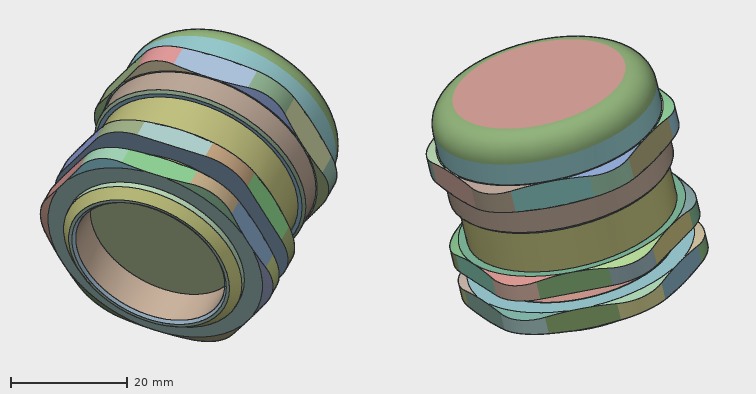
import cadquery as cq
import math


total_length = 40.56
locknut_start = 2.75
locknut_thickness = 4.0
thread_end = 8.48
ring_centre = 9.7
body_hex_start = 10.0
body_hex_thickness = 4.0
cap_start = 22.1
cap_hex_start = 27.06
cap_hex_thickness = 5.0

thread_diameter = 33.25
thread_root_diameter = 30.0
thread_chamfer = (thread_diameter - thread_root_diameter) / 2

ring_diameter = 33.1
ring_section_radius = 1.2
body_diameter = 37.0
cap_diameter = 39.5
cap_chamfer = 0.5
cap_dome_radius = 4.5

bore_diameter = 27.8
bore_depth = 7.0
bore_chamfer = 0.5

across_flats = 40.0
nut_corner_radius = 9.0
cap_corner_radius = 8.0
shallow_chamfer_angle = 20.0
steep_chamfer_angle = 30.0


def revolve_about_y(profile):
    """Revolve a half profile, drawn as (radius, y), about the Y axis."""
    return profile.close().revolve(360, (0, 0, 0), (0, 1, 0))


def turned_body():
    """The round sections, from the threaded end to the domed cap."""
    thread_radius = thread_diameter / 2
    root_radius = thread_root_diameter / 2
    body_radius = body_diameter / 2
    cap_radius = cap_diameter / 2

    ring_axis_radius = ring_diameter / 2 - ring_section_radius
    ring_start = ring_centre - math.sqrt(ring_section_radius**2 - (root_radius - ring_axis_radius) ** 2)
    ring_end_radius = ring_axis_radius + math.sqrt(
        ring_section_radius**2 - (body_hex_start - ring_centre) ** 2
    )
    ring_mid_offset = ring_section_radius * math.sqrt(0.5)

    dome_start = total_length - cap_dome_radius
    dome_flat_radius = cap_radius - cap_dome_radius
    dome_mid_offset = cap_dome_radius * math.sqrt(0.5)

    profile = (
        cq.Workplane("XY")
        .lineTo(root_radius, 0)
        .lineTo(thread_radius, thread_chamfer)
        .lineTo(thread_radius, thread_end - thread_chamfer)
        .lineTo(root_radius, thread_end)
        .lineTo(root_radius, ring_start)
        .threePointArc(
            (ring_axis_radius + ring_mid_offset, ring_centre - ring_mid_offset),
            (ring_end_radius, body_hex_start),
        )
        .lineTo(body_radius, body_hex_start)
        .lineTo(body_radius, cap_start)
        .lineTo(cap_radius - cap_chamfer, cap_start)
        .lineTo(cap_radius, cap_start + cap_chamfer)
        .lineTo(cap_radius, dome_start)
        .threePointArc(
            (dome_flat_radius + dome_mid_offset, dome_start + dome_mid_offset),
            (dome_flat_radius, total_length),
        )
        .lineTo(0, total_length)
    )
    return revolve_about_y(profile)


def hexagon(start, thickness, corner_radius, chamfer_angle, chamfer_front):
    """A hexagon with rounded corners and conical chamfers on its end faces."""
    across_corners = across_flats / math.cos(math.pi / 6)
    prism = (
        cq.Workplane("XZ", origin=(0, start, 0))
        .polygon(6, across_corners)
        .extrude(-thickness)
        .edges("|Y")
        .fillet(corner_radius)
    )

    face_radius = across_flats / 2
    rim_radius = across_corners / 2
    cone_depth = (rim_radius - face_radius) * math.tan(math.radians(chamfer_angle))
    end = start + thickness
    envelope = cq.Workplane("XY").moveTo(0, start)
    if chamfer_front:
        envelope = envelope.lineTo(face_radius, start).lineTo(rim_radius, start + cone_depth)
    else:
        envelope = envelope.lineTo(rim_radius, start)
    envelope = envelope.lineTo(rim_radius, end - cone_depth).lineTo(face_radius, end).lineTo(0, end)
    return prism.intersect(revolve_about_y(envelope))


def bore():
    """Blind bore with a chamfered mouth at the threaded end."""
    bore_radius = bore_diameter / 2
    profile = (
        cq.Workplane("XY")
        .lineTo(bore_radius + bore_chamfer, 0)
        .lineTo(bore_radius, bore_chamfer)
        .lineTo(bore_radius, bore_depth)
        .lineTo(0, bore_depth)
    )
    return revolve_about_y(profile)


locknut = hexagon(locknut_start, locknut_thickness, nut_corner_radius, shallow_chamfer_angle, True)
body_hex = hexagon(body_hex_start, body_hex_thickness, nut_corner_radius, steep_chamfer_angle, False)
cap_hex = hexagon(cap_hex_start, cap_hex_thickness, cap_corner_radius, shallow_chamfer_angle, True)

gland = turned_body().union(locknut).union(body_hex).union(cap_hex)
result = gland.cut(bore())